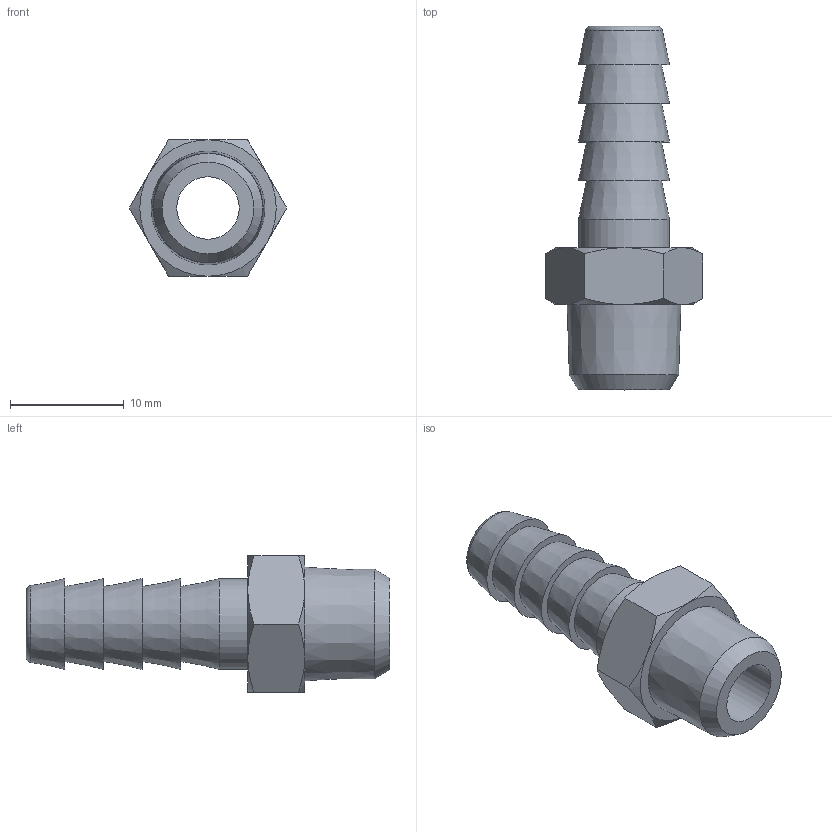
import cadquery as cq
import math

total_length = 32.0
bore_diameter = 5.5

thread_length = 7.5
thread_large_diameter = 10.0
thread_taper = 1 / 16
lead_in_length = 1.35
lead_in_angle = 30.0

hex_sides = 6
hex_length = 5.0
hex_across_flats = 12.0
hex_chamfer_angle = 30.0

barb_count = 5
barb_pitch = 3.4
barb_large_diameter = 8.0
barb_small_diameter = 6.6
tip_round_radius = 0.5

hex_end = thread_length + hex_length
barbs_start = total_length - barb_count * barb_pitch
thread_large_radius = thread_large_diameter / 2
barb_large_radius = barb_large_diameter / 2
barb_small_radius = barb_small_diameter / 2
hex_flat_radius = hex_across_flats / 2
hex_corner_radius = hex_flat_radius / math.cos(math.pi / hex_sides)


def revolve_about_y(profile):
    """Turn a closed XY profile a full revolution around the Y axis."""
    return profile.revolve(360, (0, 0, 0), (0, 1, 0))


def make_thread_body():
    """Tapered spigot with a conical lead-in at its free end."""
    taper_drop = (thread_length - lead_in_length) * thread_taper / 2
    lead_in_outer = thread_large_radius - taper_drop
    lead_in_inner = lead_in_outer - lead_in_length * math.tan(math.radians(lead_in_angle))
    profile = (
        cq.Workplane("XY")
        .moveTo(0, 0)
        .lineTo(lead_in_inner, 0)
        .lineTo(lead_in_outer, lead_in_length)
        .lineTo(thread_large_radius, thread_length)
        .lineTo(0, thread_length)
        .close()
    )
    return revolve_about_y(profile)


def make_hex_collar():
    """Hexagon with flats facing +Z and -Z, corners chamfered on both ends."""
    prism = (
        cq.Workplane("XZ", origin=(0, hex_end, 0))
        .polygon(hex_sides, 2 * hex_corner_radius)
        .extrude(hex_length)
    )
    chamfer_depth = (hex_corner_radius - hex_flat_radius) * math.tan(math.radians(hex_chamfer_angle))
    envelope = (
        cq.Workplane("XY")
        .moveTo(0, thread_length)
        .lineTo(hex_flat_radius, thread_length)
        .lineTo(hex_corner_radius, thread_length + chamfer_depth)
        .lineTo(hex_corner_radius, hex_end - chamfer_depth)
        .lineTo(hex_flat_radius, hex_end)
        .lineTo(0, hex_end)
        .close()
    )
    return prism.intersect(revolve_about_y(envelope))


def make_hose_tail():
    """Plain neck followed by a row of barbs, each narrowing towards the hose end."""
    profile = cq.Workplane("XY").moveTo(0, hex_end).lineTo(barb_large_radius, hex_end)
    for index in range(barb_count):
        barb_base = barbs_start + index * barb_pitch
        profile = profile.lineTo(barb_large_radius, barb_base)
        profile = profile.lineTo(barb_small_radius, barb_base + barb_pitch)
    profile = profile.lineTo(0, total_length).close()
    return revolve_about_y(profile).faces(">Y").edges().fillet(tip_round_radius)


def make_bore():
    """Through passage along the full length."""
    return cq.Workplane("XZ").circle(bore_diameter / 2).extrude(-total_length)


body = make_thread_body().union(make_hex_collar()).union(make_hose_tail())
result = body.cut(make_bore())